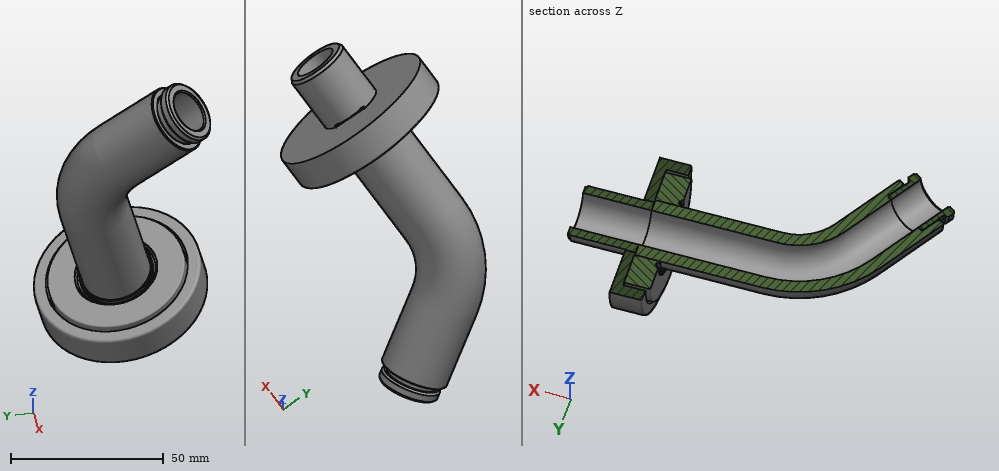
import cadquery as cq
import math

tube_radius = 11.5
bore_radius = 7.0
bend_radius = 30.0
bend_angle = 57
outlet_length = 27.1
tube_end_chamfer = 0.4
socket_recess_radius = 9.2
socket_recess_depth = 0.5

nozzle_length = 12.9
nozzle_overhang = 5.8
neck_radius = 8.8
collar_radius = 10.3
collar_length = 3.7
collar_chamfer = 0.7
mouth_chamfer = 0.5

flange_diameter = 56.0
flange_front = 36.0
flange_back = 47.1
flange_wall = 3.5
flange_fillet = 1.0
cup_radius = 23.8

disc_radius = 23.0
disc_front = 34.5
disc_fillet = 0.5
groove_radius = 13.8
groove_depth = 0.6
groove_step_radius = 13.1
groove_step_depth = 1.2
lip_radius = 12.3
lip_countersink = 0.4

nipple_radius = 10.3
nipple_end = 67.0
nipple_chamfer_axial = 1.1
nipple_chamfer_radial = 0.7
flat_height = 8.5
flat_end = 47.8

flange_radius = flange_diameter / 2
cup_floor = flange_back - flange_wall
bend_rad = math.radians(bend_angle)
outlet_dir = cq.Vector(-math.cos(bend_rad), -math.sin(bend_rad), 0)
bend_end = cq.Vector(-bend_radius * math.sin(bend_rad), -bend_radius * (1 - math.cos(bend_rad)), 0)
outlet_end = bend_end + outlet_dir * outlet_length


def revolve_about_x(points):
    """Turn a closed (x, radius) outline about the X axis."""
    return cq.Workplane("XY").polyline(points).close().revolve(360, (0, 0, 0), (1, 0, 0))


def disc_along_x(radius, start, end):
    """Solid cylinder on the X axis between two X places."""
    return cq.Workplane("YZ", origin=(start, 0, 0)).circle(radius).extrude(end - start)


def outlet_plane(offset):
    """Plane across the outlet axis, offset outward from the tube's outlet end."""
    origin = outlet_end + outlet_dir * offset
    return cq.Plane(origin=origin.toTuple(), xDir=(0, 0, 1), normal=outlet_dir.toTuple())


def arm_run(radius):
    """Round rod that follows the whole centre line of the arm."""
    straight = disc_along_x(radius, 0, cup_floor)
    bend = (
        cq.Workplane("YZ")
        .circle(radius)
        .revolve(bend_angle, (-bend_radius, 0, 0), (-bend_radius, 1, 0))
    )
    outlet = cq.Workplane(outlet_plane(-outlet_length)).circle(radius).extrude(outlet_length)
    return straight.union(bend).union(outlet)


def make_tube():
    """Bent tube with a shallow-recessed socket for the nozzle in its outlet end."""
    socket_depth = nozzle_length - nozzle_overhang
    tube = arm_run(tube_radius).faces(cq.selectors.DirectionMinMaxSelector(outlet_dir, True))
    tube = tube.edges().chamfer(tube_end_chamfer)
    socket = cq.Workplane(outlet_plane(-socket_depth)).circle(neck_radius).extrude(socket_depth)
    recess = cq.Workplane(outlet_plane(-socket_recess_depth)).circle(socket_recess_radius)
    recess = recess.extrude(socket_recess_depth)
    return tube.cut(arm_run(bore_radius)).cut(socket).cut(recess)


def make_nozzle():
    """Hollow insert with a chamfered collar at its mouth."""
    inner_end = outlet_plane(nozzle_overhang - nozzle_length)
    body = cq.Workplane(inner_end).circle(neck_radius).extrude(nozzle_length)
    collar = cq.Workplane(outlet_plane(nozzle_overhang - collar_length)).circle(collar_radius)
    collar = collar.extrude(collar_length).edges().chamfer(collar_chamfer)
    bore = cq.Workplane(inner_end).circle(bore_radius).extrude(nozzle_length)
    nozzle = body.union(collar).cut(bore)
    mouth = nozzle.faces(cq.selectors.DirectionMinMaxSelector(outlet_dir, True))
    return mouth.edges(cq.selectors.RadiusNthSelector(0)).chamfer(mouth_chamfer)


def make_flange(nipple):
    """Round cup with a rounded front rim and a hole that fits the nipple."""
    flange = revolve_about_x([
        (flange_front, cup_radius),
        (flange_front, flange_radius),
        (flange_back, flange_radius),
        (flange_back, 0),
        (cup_floor, 0),
        (cup_floor, cup_radius),
    ])
    rim = flange.faces("<X").edges(cq.selectors.RadiusNthSelector(-1))
    flange = rim.fillet(flange_fillet)
    bore = disc_along_x(bore_radius, cup_floor, flange_back)
    return flange.cut(nipple).cut(bore)


def make_disc():
    """Cover disc with a stepped groove and a narrow lip around the tube."""
    disc = revolve_about_x([
        (disc_front, groove_radius),
        (disc_front, disc_radius),
        (cup_floor, disc_radius),
        (cup_floor, tube_radius),
        (disc_front + lip_countersink, tube_radius),
        (disc_front, tube_radius + lip_countersink),
        (disc_front, lip_radius),
        (disc_front + groove_step_depth, lip_radius),
        (disc_front + groove_step_depth, groove_step_radius),
        (disc_front + groove_depth, groove_step_radius),
        (disc_front + groove_depth, groove_radius),
    ])
    return disc.faces("<X").edges(cq.selectors.RadiusNthSelector(-1)).fillet(disc_fillet)


def make_nipple():
    """Hollow nipple with a chamfered end and two flats where it enters the flange."""
    nipple = revolve_about_x([
        (cup_floor, bore_radius),
        (cup_floor, nipple_radius),
        (nipple_end - nipple_chamfer_axial, nipple_radius),
        (nipple_end, nipple_radius - nipple_chamfer_radial),
        (nipple_end, bore_radius),
    ])
    flat_length = flat_end - cup_floor
    outside_flats = disc_along_x(2 * nipple_radius, cup_floor, flat_end).cut(
        cq.Workplane("XY")
        .box(flat_length, 4 * nipple_radius, 2 * flat_height)
        .translate((cup_floor + flat_length / 2, 0, 0))
    )
    return nipple.cut(outside_flats)


tube = make_tube()
nozzle = make_nozzle()
nipple = make_nipple()
flange = make_flange(nipple)
disc = make_disc()

result = cq.Compound.makeCompound([tube.val(), nozzle.val(), flange.val(), disc.val(), nipple.val()])